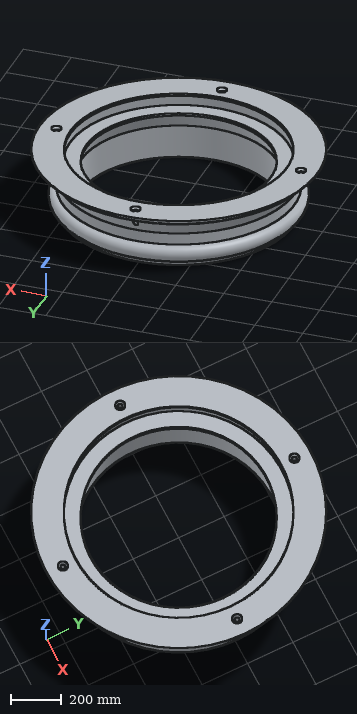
import cadquery as cq
import math

height = 260.0
rim_radius = 580.0

rim_cone_foot_radius = 551.0
rim_cone_foot_z = 230.0
shoulder_radius = 514.0
shoulder_z = 208.0
flare_radius = 75.0
neck_radius = 965.0 / 2
neck_top_z = 150.0
base_fillet = 19.0

groove_floor_radius = 885.0 / 2
groove_bottom_z = 22.0
groove_width = 78.0
ring_section_radius = 35.0
ring_center_radius = groove_floor_radius + ring_section_radius
ring_center_z = groove_bottom_z + groove_width / 2

bore_radius = 810.0 / 2
bore_top_z = 142.0
throat_radius = 770.0 / 2
throat_land = 10.0
recess_radius = 905.0 / 2
recess_floor_z = 208.0
lip_radius = 901.0 / 2
lip_thickness = 10.0

hole_count = 4
hole_circle_radius = 509.0
hole_radius = 20.0 / 2
countersink_radius = 20.0
countersink_depth = countersink_radius - hole_radius


def make_housing_body():
    """Revolve the wall section, drawn as radius and height, about Z."""
    groove_top_z = groove_bottom_z + groove_width
    arc_inset = base_fillet * (1 - math.sqrt(0.5))
    section = (
        cq.Workplane("XZ")
        .moveTo(bore_radius, 0)
        .lineTo(neck_radius - base_fillet, 0)
        .threePointArc((neck_radius - arc_inset, arc_inset), (neck_radius, base_fillet))
        .lineTo(neck_radius, groove_bottom_z)
        .lineTo(groove_floor_radius, groove_bottom_z)
        .lineTo(groove_floor_radius, groove_top_z)
        .lineTo(neck_radius, groove_top_z)
        .lineTo(neck_radius, neck_top_z)
        .lineTo(shoulder_radius, shoulder_z)
        .radiusArc((rim_cone_foot_radius, rim_cone_foot_z), flare_radius)
        .lineTo(rim_radius, height)
        .lineTo(lip_radius, height)
        .lineTo(lip_radius, height - lip_thickness)
        .lineTo(recess_radius, height - lip_thickness)
        .lineTo(recess_radius, recess_floor_z)
        .lineTo(throat_radius, recess_floor_z)
        .lineTo(throat_radius, recess_floor_z - throat_land)
        .lineTo(bore_radius, bore_top_z)
        .close()
    )
    return section.revolve(360, (0, 0, 0), (0, 1, 0))


def make_screw_hole(angle):
    """Cutter for one screw hole that runs from the rim out through the flank."""
    cutter = (
        cq.Workplane("XZ")
        .moveTo(0, neck_top_z)
        .lineTo(hole_radius, neck_top_z)
        .lineTo(hole_radius, height - countersink_depth)
        .lineTo(countersink_radius, height)
        .lineTo(0, height)
        .close()
        .revolve(360, (0, 0, 0), (0, 1, 0))
    )
    return cutter.translate((hole_circle_radius, 0, 0)).rotate((0, 0, 0), (0, 0, 1), angle)


def make_housing():
    body = make_housing_body()
    for index in range(hole_count):
        body = body.cut(make_screw_hole(index * 360 / hole_count))
    return body


def make_seal_ring():
    """Round-section ring that rests on the groove floor."""
    return (
        cq.Workplane("XZ")
        .center(ring_center_radius, ring_center_z)
        .circle(ring_section_radius)
        .revolve(360, (-ring_center_radius, 0, 0), (-ring_center_radius, 1, 0))
    )


housing = make_housing()
seal_ring = make_seal_ring()

result = cq.Compound.makeCompound([housing.val(), seal_ring.val()])